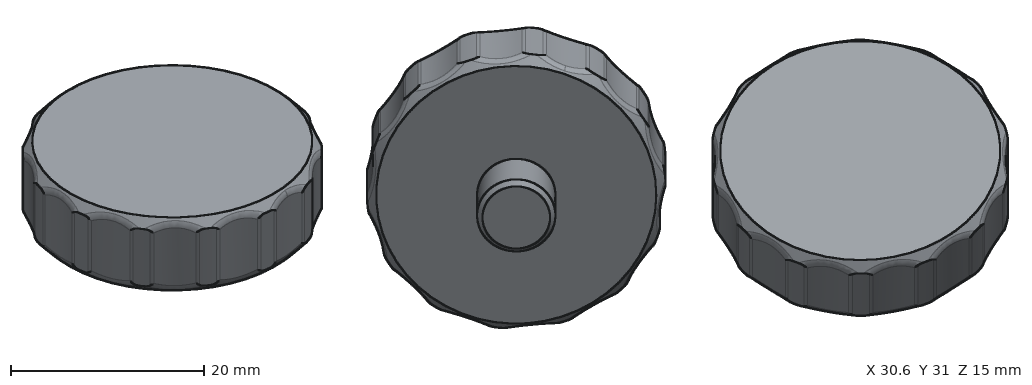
import cadquery as cq

head_diameter = 31.0
head_height = 9.02
head_chamfer = 1.0

flute_count = 14
flute_radius = 10.0
flute_depth = 0.45
flute_edge_fillet = 1.0
flute_circle_radius = head_diameter / 2 - flute_depth + flute_radius

stem_diameter = 8.12
stem_length = 5.98
stem_chamfer = 0.55


def make_head():
    """Chamfered disc with its underside on Z = 0."""
    disc = cq.Workplane("XY").circle(head_diameter / 2).extrude(head_height)
    return disc.edges("%CIRCLE").chamfer(head_chamfer)


def cut_flutes(head):
    """Cut shallow flutes around the rim, the first one facing +X, and round their edges."""
    cutters = (
        cq.Workplane("XY")
        .polarArray(flute_circle_radius, 0, 360, flute_count)
        .circle(flute_radius)
        .extrude(head_height)
    )
    fluted = head.cut(cutters)
    flute_faces = fluted.faces("%CYLINDER").filter(is_flute)
    return flute_faces.edges().fillet(flute_edge_fillet)


def is_flute(face):
    """The ridges between flutes end in circular arcs at the chamfers; the flutes do not."""
    return all(edge.geomType() != "CIRCLE" for edge in face.Edges())


def make_stem():
    """Plain pin hanging below the head, with a chamfered tip."""
    stem = cq.Workplane("XY").circle(stem_diameter / 2).extrude(-stem_length)
    return stem.faces("<Z").edges().chamfer(stem_chamfer)


result = cut_flutes(make_head()).union(make_stem())